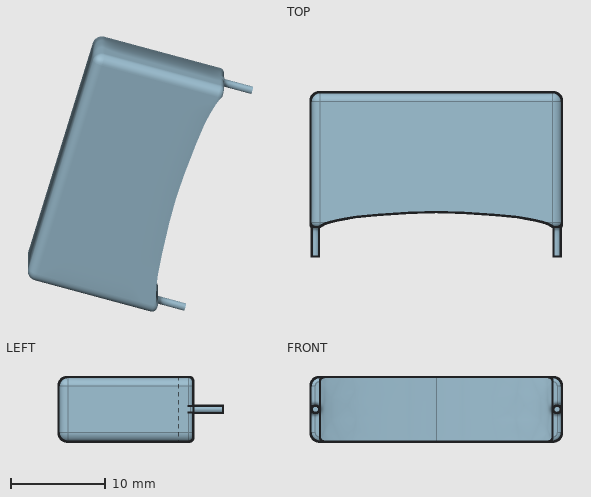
import cadquery as cq
import math

case_width = 26.67
case_depth = 14.31
case_height = 6.89
case_edge_radius = 1.0
foot_edge_radius = 0.5

arch_half_span = case_width / 2 - case_edge_radius
arch_rise = 1.57
arch_middle_x = 6.0
arch_middle_y = 1.28
arch_shoulder_x = 11.1
arch_shoulder_y = 0.57
arch_foot_angle = math.radians(50)

lead_diameter = 0.8
lead_length = 3.14
lead_inset = 0.53
lead_x = case_width / 2 - lead_inset

seat_width = 0.66


def make_half_arch_cutter():
    """Right half of the hollow between the feet, running through the full height of the case."""
    return (
        cq.Workplane("XY", origin=(0, 0, -case_height / 2))
        .lineTo(0, arch_rise)
        .spline(
            [
                (arch_middle_x, arch_middle_y),
                (arch_shoulder_x, arch_shoulder_y),
                (arch_half_span, 0),
            ],
            tangents=[(1, 0), (math.cos(arch_foot_angle), -math.sin(arch_foot_angle))],
            includeCurrent=True,
        )
        .close()
        .extrude(case_height)
    )


def make_lead_seat(side):
    """Pad that carries the foot edge's rounding out to the lead; side is -1 (left) or 1 (right)."""
    wall_x = case_width / 2
    round_center_x = wall_x - foot_edge_radius
    foot_x = lead_x + lead_diameter / 2
    wall_y = math.sqrt(foot_edge_radius**2 - (foot_x - round_center_x) ** 2)
    half_angle = math.atan2(wall_y, foot_x - round_center_x) / 2
    middle_x = round_center_x + foot_edge_radius * math.cos(half_angle)
    middle_y = wall_y - foot_edge_radius * math.sin(half_angle)
    return (
        cq.Workplane("XY", origin=(0, 0, -seat_width / 2))
        .moveTo(side * lead_x, 0)
        .lineTo(side * foot_x, 0)
        .threePointArc((side * middle_x, middle_y), (side * wall_x, wall_y))
        .lineTo(side * wall_x, foot_edge_radius)
        .lineTo(side * lead_x, foot_edge_radius)
        .close()
        .extrude(seat_width)
    )


def make_case():
    """Rounded box with the hollow cut between its feet and a seat under each lead."""
    half_arch = make_half_arch_cutter()
    case = (
        cq.Workplane("XY")
        .box(case_width, case_depth, case_height)
        .translate((0, case_depth / 2, 0))
        .edges("|Y or >Y")
        .fillet(case_edge_radius)
        .faces("<Y")
        .edges()
        .fillet(foot_edge_radius)
        .cut(half_arch)
        .cut(half_arch.mirror("YZ"))
    )
    for side in (-1, 1):
        case = case.union(make_lead_seat(side))
    return case


def make_lead(side):
    """Round wire standing on the foot plane; side is -1 (left) or 1 (right)."""
    return (
        cq.Workplane("XZ")
        .center(side * lead_x, 0)
        .circle(lead_diameter / 2)
        .extrude(lead_length)
    )


case = make_case()
leads = [make_lead(side) for side in (-1, 1)]

result = cq.Compound.makeCompound([case.val(), *[lead.val() for lead in leads]])